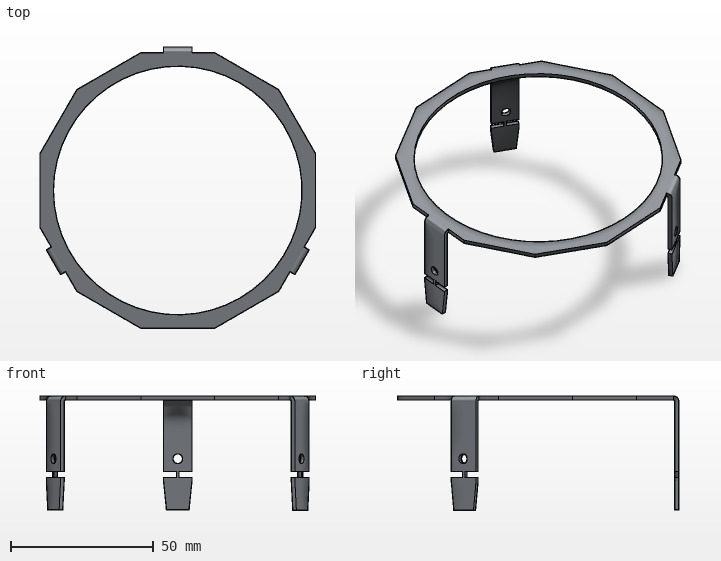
import cadquery as cq
import math

side_count = 12
ring_corner_diameter = 100.0
ring_apothem = ring_corner_diameter / 2 * math.cos(math.pi / side_count)
ring_bore_diameter = 87.0
sheet = 1.5

bend_inner_radius = 0.5
bend_outer_radius = bend_inner_radius + sheet
leg_width = 10.0
leg_inner_face = ring_apothem + bend_inner_radius
leg_outer_face = ring_apothem + bend_outer_radius
leg_end_z = -26.5
hole_diameter = 3.3
hole_z = -22.0

neck_width = 1.0
neck_length = 2.0
tab_top_z = leg_end_z - neck_length
tab_straight_length = 1.4
tab_taper_length = 10.0
tab_end_width = 8.0
long_tab_extra = 0.2

legs = [
    (90, 0.0, 0.0, tab_straight_length),
    (210, 0.0, -0.1, tab_straight_length),
    (330, -0.3, 0.0, tab_straight_length + long_tab_extra),
]


def make_ring():
    """Flat ring with two of its sides square to the X axis."""
    return (
        cq.Workplane("XY")
        .polygon(side_count, ring_corner_diameter)
        .extrude(-sheet)
        .rotate((0, 0, 0), (0, 0, 1), 180 / side_count)
        .faces(">Z")
        .workplane(origin=(0, 0, 0))
        .hole(ring_bore_diameter)
    )


def make_bent_strip():
    """Strip that bends down from the ring side facing +X."""
    bend_z = -bend_outer_radius
    outer_mid = bend_outer_radius * math.sqrt(0.5)
    inner_mid = bend_inner_radius * math.sqrt(0.5)
    return (
        cq.Workplane("XZ")
        .moveTo(ring_apothem, 0)
        .threePointArc((ring_apothem + outer_mid, bend_z + outer_mid), (leg_outer_face, bend_z))
        .lineTo(leg_outer_face, leg_end_z)
        .lineTo(leg_inner_face, leg_end_z)
        .lineTo(leg_inner_face, bend_z)
        .threePointArc((ring_apothem + inner_mid, bend_z + inner_mid), (ring_apothem, -sheet))
        .close()
        .extrude(leg_width / 2, both=True)
    )


def leg_plane():
    """Sketch plane on the inner face of the leg along +X."""
    return cq.Workplane("YZ").workplane(offset=leg_inner_face)


def make_tab(straight_length):
    """Tab with a straight upper part and a tapered lower part."""
    taper_start_z = tab_top_z - straight_length
    end_z = taper_start_z - tab_taper_length
    return (
        leg_plane()
        .polyline([
            (-leg_width / 2, tab_top_z),
            (leg_width / 2, tab_top_z),
            (leg_width / 2, taper_start_z),
            (tab_end_width / 2, end_z),
            (-tab_end_width / 2, end_z),
            (-leg_width / 2, taper_start_z),
        ])
        .close()
        .extrude(sheet)
    )


def make_leg(hole_offset, neck_offset, straight_length):
    """Complete leg along +X: bent strip with its hole, neck and tab."""
    hole = leg_plane().center(hole_offset, hole_z).circle(hole_diameter / 2).extrude(sheet)
    neck_mid_z = leg_end_z - neck_length / 2
    neck = leg_plane().center(neck_offset, neck_mid_z).rect(neck_width, neck_length).extrude(sheet)
    return make_bent_strip().cut(hole).union(neck).union(make_tab(straight_length))


bracket = make_ring()
for angle, hole_offset, neck_offset, straight_length in legs:
    leg = make_leg(hole_offset, neck_offset, straight_length)
    bracket = bracket.union(leg.rotate((0, 0, 0), (0, 0, 1), angle))

result = cq.Compound.makeCompound([bracket.solids().val()])